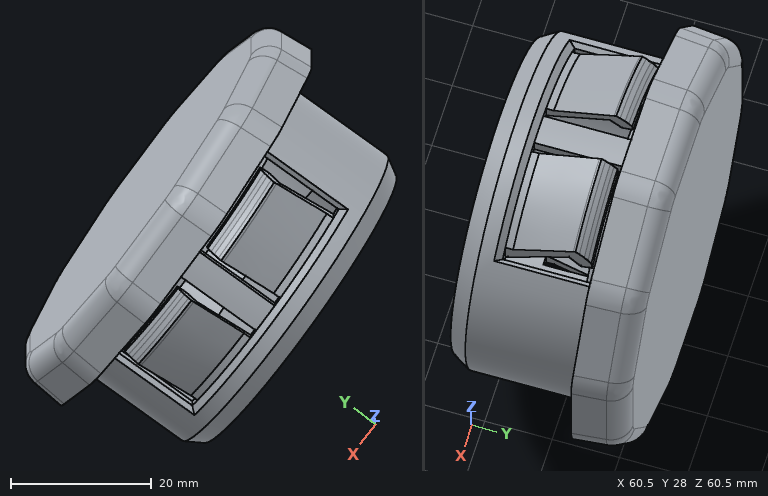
import cadquery as cq
import math


cap_sides = 12
cap_width = 60.5
cap_thickness = 8.05
cap_draft = 5.0
cap_corner_radius = 7.55
cap_back_radius = 3.25

barrel_length = 19.95
barrel_radius = 50.0 / 2
bore_radius = 44.1 / 2
tip_radius = 23.4
tip_chamfer_length = 2.65

floor_disc_radius = 41.45 / 2
floor_disc_height = 2.0

recess_radius = 24.0
recess_length = 14.0
recess_half_width = 17.6
recess_end_bevel = 1.0
recess_side_bevel_run = 0.85
recess_side_bevel_rise = 0.5

rib_half_width = 2.25
latch_inner_x = 3.6
latch_outer_x = 16.35

latch_section = [
    (bore_radius, 13.6),
    (25.8, 4.55),
    (24.4, 2.7),
    (24.7, 1.1),
    (25.65, 1.2),
    (26.2, 1.75),
    (26.7, 2.3),
    (27.15, 3.0),
    (27.5, 3.6),
    (27.35, 3.95),
    (recess_radius, 12.8),
    (recess_radius, recess_length),
]
overlap = 0.3


def revolve_section(points):
    """Full turn about Y of a section given as (radius, distance from the rim plane)."""
    section = [(radius, -distance) for radius, distance in points]
    return cq.Workplane("XY").polyline(section).close().revolve(360, (0, 0, 0), (0, 1, 0))


def side_block(x_start, x_end, length):
    """Block above the axis, from the rim plane to the given distance along the barrel."""
    bottom_z = bore_radius / 2
    top_z = cap_width / 2
    block = cq.Workplane("XY").box(x_end - x_start, length, top_z - bottom_z, centered=False)
    return block.translate((x_start, -length, bottom_z))


def half_turn(shape):
    """Copy of a shape on the opposite side of the barrel."""
    return shape.rotate((0, 0, 0), (0, 1, 0), 180)


def make_cap():
    corner_diameter = cap_width / math.cos(math.pi / cap_sides)
    cap = (
        cq.Workplane("XZ")
        .transformed(rotate=(0, 0, 180 / cap_sides))
        .polygon(cap_sides, corner_diameter)
        .extrude(-cap_thickness, taper=cap_draft)
    )
    cap = cap.edges("not(#Y)").fillet(cap_corner_radius)
    return cap.faces(">Y").edges().fillet(cap_back_radius)


def make_barrel():
    return revolve_section([
        (bore_radius, 0),
        (barrel_radius, 0),
        (barrel_radius, barrel_length - tip_chamfer_length),
        (tip_radius, barrel_length),
        (bore_radius, barrel_length),
    ])


def make_recess():
    """Ring-shaped cutter with a bevelled end, trimmed to the flared width of the recess."""
    depth = barrel_radius - recess_radius
    cut_scale = 2
    ring = revolve_section([
        (recess_radius, 0),
        (recess_radius + cut_scale * depth, 0),
        (recess_radius + cut_scale * depth, recess_length + cut_scale * recess_end_bevel),
        (recess_radius, recess_length),
    ])
    base_z = math.sqrt(recess_radius**2 - recess_half_width**2)
    flare_x = recess_half_width + cut_scale * recess_side_bevel_run
    flare_z = base_z + cut_scale * recess_side_bevel_rise
    outline = [
        (-recess_half_width, base_z),
        (recess_half_width, base_z),
        (flare_x, flare_z),
        (flare_x, cap_width / 2),
        (-flare_x, cap_width / 2),
        (-flare_x, flare_z),
    ]
    return ring.intersect(cq.Workplane("XZ").polyline(outline).close().extrude(barrel_length))


def make_latch_pair():
    root_end = recess_length + overlap
    section = [(bore_radius, root_end)] + latch_section + [(recess_radius, root_end)]
    ring = revolve_section(section)
    latch = ring.intersect(side_block(latch_inner_x, latch_outer_x, barrel_length))
    return latch.union(latch.mirror("YZ"))


def make_openings():
    """Recess and the two windows of one side."""
    window = side_block(rib_half_width, recess_half_width, recess_length)
    return make_recess().union(window).union(window.mirror("YZ"))


openings = make_openings()
latches = make_latch_pair()
floor_disc = cq.Workplane("XZ").circle(floor_disc_radius).extrude(floor_disc_height)

barrel = make_barrel().cut(openings).cut(half_turn(openings))
barrel = barrel.union(latches).union(half_turn(latches))
result = barrel.union(floor_disc).union(make_cap())